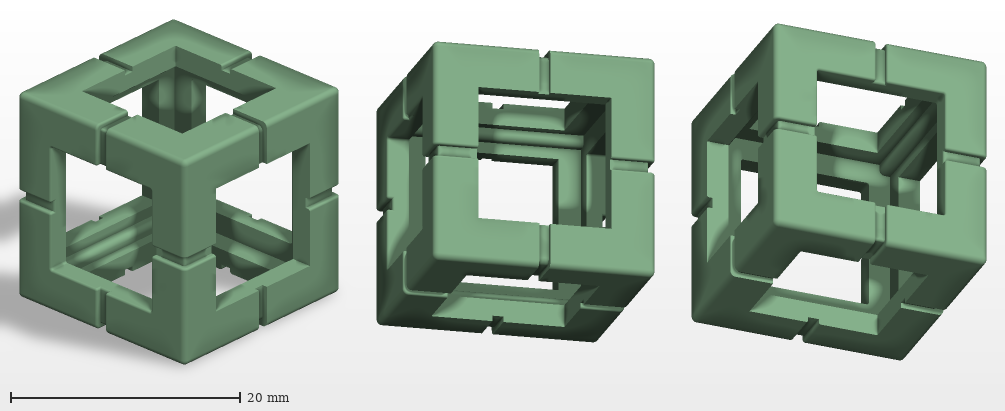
import cadquery as cq

cube_side = 20.0
wall = 2.0
window_side = 12.0
outer_radius = 0.5
cavity_side = cube_side - 2 * wall

groove_width = 1.0
groove_depth = 0.5
groove_floor_side = cube_side - 2 * groove_depth

edge_radius = 0.2

joint_y = -groove_width / 2

bar_side = 1.0
bar_radius = 0.5
tongue_length = 2.0
tongue_tip_y = joint_y - tongue_length

tolerance = 0.002


def cube(side):
    return cq.Workplane("XY").box(side, side, side)


def groove_ring(axis, plane, floor_radius):
    """Material removed by one groove: a slab across the axis, around a core with rounded edges."""
    slab = cq.Workplane(plane).rect(cube_side, cube_side).extrude(groove_width / 2, both=True)
    core = cube(groove_floor_side).edges("|" + axis).fillet(floor_radius)
    return slab.cut(core)


def window(plane):
    """A square prism that passes through two opposite walls."""
    return cq.Workplane(plane).rect(window_side, window_side).extrude(cube_side / 2, both=True)


def lies_on_groove_side(low, high):
    """True for an extent that is flat and lies on one side wall of a groove."""
    return high - low < tolerance and abs(abs(low) - groove_width / 2) < tolerance


def groove_rims(body):
    """Outer edges of the side walls of the X and Z grooves."""
    rims = []
    for edge in body.edges().vals():
        center = edge.Center()
        box = edge.BoundingBox()
        reach = max(abs(center.x), abs(center.y), abs(center.z))
        is_outside = reach > cube_side / 2 - groove_depth / 2
        is_on_x_groove = lies_on_groove_side(box.xmin, box.xmax)
        is_on_z_groove = lies_on_groove_side(box.zmin, box.zmax)
        if is_outside and (is_on_x_groove or is_on_z_groove):
            rims.append(edge)
    return rims


def window_rims(body):
    """Outer outlines of the front and back windows, with their dips into the grooves."""
    rims = []
    for edge in body.edges().vals():
        box = edge.BoundingBox()
        reach = max(abs(box.xmin), abs(box.xmax), abs(box.zmin), abs(box.zmax))
        is_at_window = reach < window_side / 2 + tolerance
        is_outside = abs(edge.Center().y) > groove_floor_side / 2 - tolerance
        if is_at_window and is_outside:
            rims.append(edge)
    return rims


def frame():
    """The whole hollow cube, before it is divided into its halves."""
    body = cube(cube_side).edges().fillet(outer_radius)

    body = body.cut(groove_ring("X", "YZ", edge_radius))
    body = body.cut(groove_ring("Y", "XZ", outer_radius))
    body = body.cut(groove_ring("Z", "XY", edge_radius))

    body = body.cut(cube(cavity_side))
    body = body.cut(window("XY"))
    body = body.cut(window("YZ"))
    body = body.cut(window("XZ").edges("|Y").fillet(edge_radius))

    body = body.newObject(groove_rims(body)).fillet(edge_radius)
    return body.newObject(window_rims(body)).fillet(edge_radius)


def box_between(width, y_start, y_end):
    """A box of square section along Y, centred on the Y axis."""
    length = y_end - y_start
    return cq.Workplane("XY").box(width, length, width).translate((0, y_start + length / 2, 0))


def half(whole, half_start, half_end, bar_start, bar_end):
    """One half of the frame with its four corner bars, each rounded on its inward edge."""
    body = whole.intersect(box_between(cube_side, half_start, half_end))
    offset = (cavity_side - bar_side) / 2
    for side_x, inward_x in ((-1, ">X"), (1, "<X")):
        for side_z, inward_z in ((-1, ">Z"), (1, "<Z")):
            bar = box_between(bar_side, bar_start, bar_end)
            bar = bar.faces(inward_x).edges(inward_z).fillet(bar_radius)
            body = body.union(bar.translate((side_x * offset, 0, side_z * offset)))
    return body


whole_frame = frame()
front_half = half(whole_frame, -cube_side / 2, joint_y, -cavity_side / 2, tongue_tip_y)
rear_half = half(whole_frame, joint_y, cube_side / 2, tongue_tip_y, cavity_side / 2)

result = cq.Compound.makeCompound([front_half.solids().val(), rear_half.solids().val()])